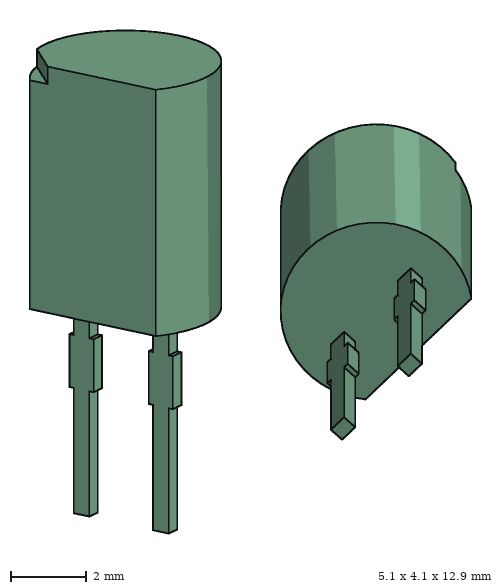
import cadquery as cq

body_diameter = 5.1
body_depth = 4.1
body_height = 6.9
body_radius = body_diameter / 2
flat_y = body_radius - body_depth

notch_height = 0.49
notch_end_x = -1.45

total_height = 12.9
lead_pitch = 2.54
lead_width = 0.5
lead_thickness = 0.41
lead_length = total_height - body_height
shoulder_width = 0.77
shoulder_gap = 1.0
shoulder_height = 1.48


def make_body():
    """D-shaped body standing on Z = 0."""
    cylinder = cq.Workplane("XY").circle(body_radius).extrude(body_height)
    keep = (
        cq.Workplane("XY")
        .workplane(offset=body_height / 2)
        .center(0, flat_y + body_depth / 2)
        .box(body_diameter, body_depth, body_height)
    )
    return cylinder.intersect(keep)


def make_notch():
    """Triangular cutter whose long side is the 45 degree notch wall."""
    leg = body_radius + notch_end_x
    return (
        cq.Workplane("XY")
        .workplane(offset=body_height - notch_height)
        .moveTo(notch_end_x, flat_y)
        .lineTo(-body_radius, flat_y + leg)
        .lineTo(-body_radius, flat_y)
        .close()
        .extrude(notch_height)
    )


def make_bar(x, top_z, width, height):
    """Rectangular length of lead hanging down from top_z."""
    return (
        cq.Workplane("XY")
        .workplane(offset=top_z)
        .center(x, 0)
        .rect(width, lead_thickness)
        .extrude(-height)
    )


def make_lead(x):
    """Pin below the body with its shoulder."""
    pin = make_bar(x, 0, lead_width, lead_length)
    shoulder = make_bar(x, -shoulder_gap, shoulder_width, shoulder_height)
    return pin.union(shoulder)


result = make_body().cut(make_notch())
for lead_x in (-lead_pitch / 2, lead_pitch / 2):
    result = result.union(make_lead(lead_x))